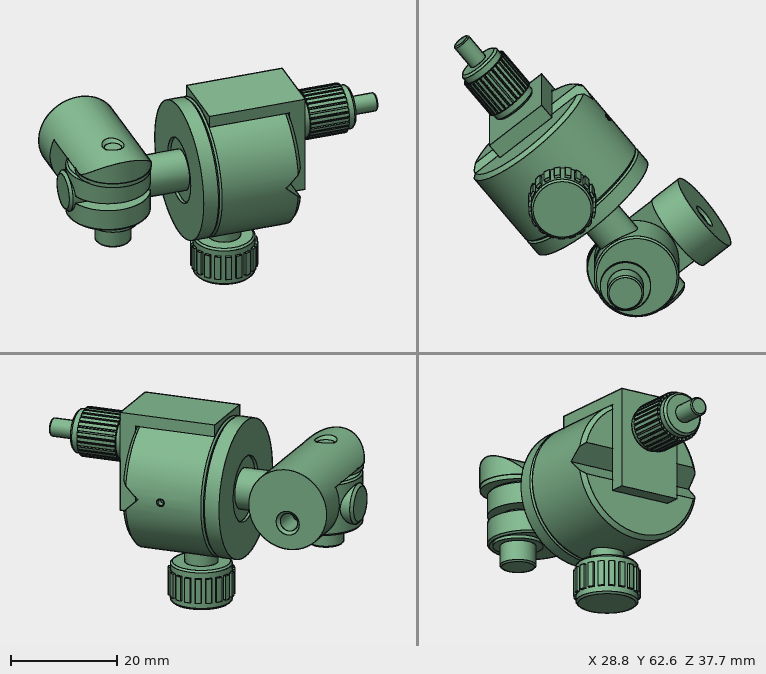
import cadquery as cq
import math


overall_width = 28.8
overall_length = 62.65

body_dia = 27.0
body_rear = 19.85
body_rear_chamfer = 0.8
flange_thickness = 3.3
body_front = flange_thickness
joint_chamfer = 0.4
recess_dia = 12.7
recess_depth = 0.6
notch_depth = 3.3
notch_half_opening = 3.15
side_hole_dia = 1.2
side_hole_mouth_dia = 1.55
side_hole_y = 11.9
side_hole_depth = 1.55

block_width = 12.65
block_top = 14.3
block_bottom = -5.25
block_front = 3.75
block_rear = 23.0

mic_z = 7.2
mic_collar_dia = 8.7
mic_collar_chamfer = 0.4
mic_collar_end = 24.7
mic_knurl_dia = 9.5
mic_knurl_end = 32.45
mic_cap_dia = 8.45
mic_cap_end = 34.15
mic_cap_chamfer = 0.45
mic_stem_dia = 3.5
mic_stem_end = 39.35
mic_stem_chamfer = 0.25
mic_groove_count = 30
mic_groove_width = 0.3

knob_y = 9.0
knob_neck_dia = 6.3
knob_dia = 11.7
knob_top = -15.6
knob_bottom = -23.4
knob_chamfer = 0.4
knob_rib_dia = 12.7
knob_rib_top = -17.1
knob_rib_bottom = -21.9
knob_rib_width = 1.1
knob_rib_count = 19
knob_first_rib_angle = 272

shaft_dia = 7.95
shaft_chamfer = 0.55
shaft_front = mic_stem_end - overall_length

joint_y = -14.7
clamp_x = 1.2
clamp_dia = 16.0
clamp_half_height = 5.2
clamp_chamfer = 0.4
slit_width = 1.5

pivot_x = 3.9
pivot_shank_dia = 5.0
washer_dia = 9.5
washer_bottom = -5.8
screw_head_dia = 6.8
screw_head_bottom = -9.95
screw_head_chamfer = 0.3

arm_dia = 15.85
arm_z = 2.7
arm_left = body_dia / 2 - overall_width
arm_wall_right = -8.95
arm_flat_z = 6.1
arm_hole_dia = 3.5
arm_hole_mouth_dia = 4.7
arm_end_dia = 14.55
spacer_dia = 14.3
dimple_floor_dia = 3.25


def rod_y(dia, start, end, x=0, z=0):
    """Round bar along Y between two Y positions."""
    plane = cq.Workplane("XZ", origin=(x, start, z))
    return plane.circle(dia / 2).extrude(start - end)


def rod_z(dia, bottom, top, x=0, y=0):
    """Round bar along Z between two Z positions."""
    return cq.Workplane("XY", origin=(x, y, bottom)).circle(dia / 2).extrude(top - bottom)


def rod_x(dia, left, right, y=0, z=0):
    """Round bar along X between two X positions."""
    return cq.Workplane("YZ", origin=(left, y, z)).circle(dia / 2).extrude(right - left)


def box_between(x_range, y_range, z_range):
    """Box given by its limits along each axis."""
    sizes = [high - low for low, high in (x_range, y_range, z_range)]
    corner = (x_range[0], y_range[0], z_range[0])
    return cq.Workplane("XY").box(*sizes, centered=False).translate(corner)


def countersink(mouth_dia, inner_dia, mouth_center, direction):
    """45 degree cone narrowing from its mouth along the given direction."""
    depth = (mouth_dia - inner_dia) / 2
    cone = cq.Solid.makeCone(
        mouth_dia / 2, inner_dia / 2, depth, cq.Vector(*mouth_center), cq.Vector(*direction)
    )
    return cq.Workplane(cone)


def make_flange():
    flange = rod_y(body_dia, 0, flange_thickness).faces(">Y").chamfer(joint_chamfer)
    return flange.cut(rod_y(recess_dia, 0, recess_depth))


def make_body():
    body = rod_y(body_dia, body_front, body_rear)
    body = body.faces("<Y").chamfer(joint_chamfer).faces(">Y").chamfer(body_rear_chamfer)
    notch = (
        cq.Workplane("YZ")
        .polyline([
            (body_rear - notch_depth, 0),
            (body_rear, notch_half_opening),
            (body_rear, -notch_half_opening),
        ])
        .close()
        .extrude(body_dia / 2, both=True)
    )
    left = -body_dia / 2
    side_hole = rod_x(side_hole_dia, left, left + side_hole_depth, y=side_hole_y)
    side_sink = countersink(side_hole_mouth_dia, side_hole_dia, (left, side_hole_y, 0), (1, 0, 0))
    return body.cut(notch).cut(side_hole).cut(side_sink)


def make_block():
    half_width = block_width / 2
    ledge_bottom = math.sqrt((body_dia / 2) ** 2 - half_width ** 2)
    x_range = (-half_width, half_width)
    ledge = box_between(x_range, (block_front, block_rear), (ledge_bottom, block_top))
    leg = box_between(x_range, (body_rear, block_rear), (block_bottom, block_top))
    return ledge.union(leg)


def make_micrometer():
    collar = rod_y(mic_collar_dia, block_rear, mic_collar_end, z=mic_z)
    collar = collar.faces("<Y").chamfer(mic_collar_chamfer)
    knurl = rod_y(mic_knurl_dia, mic_collar_end, mic_knurl_end, z=mic_z)
    cap = rod_y(mic_cap_dia, mic_knurl_end, mic_cap_end, z=mic_z).faces(">Y").chamfer(mic_cap_chamfer)
    stem = rod_y(mic_stem_dia, mic_cap_end, mic_stem_end, z=mic_z).faces(">Y").chamfer(mic_stem_chamfer)

    groove_depth = (mic_knurl_dia - mic_collar_dia) / 2
    pitch = 360 / mic_groove_count
    grooves = (
        cq.Workplane("XZ", origin=(0, mic_collar_end, mic_z))
        .polarArray(mic_knurl_dia / 2, pitch / 2, 360, mic_groove_count)
        .rect(2 * groove_depth, mic_groove_width)
        .extrude(mic_collar_end - mic_knurl_end)
    )
    return collar.union(knurl.cut(grooves)).union(cap).union(stem)


def make_knob():
    neck = rod_z(knob_neck_dia, knob_top, 0, y=knob_y)
    head = rod_z(knob_dia, knob_bottom, knob_top, y=knob_y).faces("<Z or >Z").chamfer(knob_chamfer)
    rib_height = knob_rib_top - knob_rib_bottom
    spokes = (
        cq.Workplane("XY", origin=(0, knob_y, knob_rib_bottom))
        .polarArray(knob_dia / 2, knob_first_rib_angle, 360, knob_rib_count)
        .rect(knob_rib_dia - knob_dia + knob_rib_width, knob_rib_width)
        .extrude(rib_height)
    )
    rib_limit = rod_z(knob_rib_dia, knob_rib_bottom, knob_rib_top, y=knob_y)
    return neck.union(head).union(spokes.intersect(rib_limit))


def make_clamp():
    clamp = rod_z(clamp_dia, -clamp_half_height, clamp_half_height, clamp_x, joint_y)
    clamp = clamp.faces("<Z or >Z").chamfer(clamp_chamfer)
    slit = box_between(
        (0, clamp_x + clamp_dia),
        (joint_y - clamp_dia, joint_y + clamp_dia),
        (-slit_width / 2, slit_width / 2),
    )
    shaft = rod_y(shaft_dia, shaft_front, recess_depth).faces("<Y").chamfer(shaft_chamfer)
    return clamp.cut(slit).union(shaft)


def make_pivot_screw():
    shank = rod_z(pivot_shank_dia, -clamp_half_height, clamp_half_height, pivot_x, joint_y)
    washer = rod_z(washer_dia, washer_bottom, -clamp_half_height, pivot_x, joint_y)
    head = rod_z(screw_head_dia, screw_head_bottom, washer_bottom, pivot_x, joint_y)
    return shank.union(washer).union(head.faces("<Z").chamfer(screw_head_chamfer))


def make_arm():
    arm_right = pivot_x + arm_end_dia / 2
    arm_top = arm_z + arm_dia / 2
    end_wall = rod_x(arm_dia, arm_left, arm_wall_right, joint_y, arm_z)

    tongue = rod_x(arm_dia, arm_wall_right, arm_right, joint_y, arm_z)
    y_range = (joint_y - arm_end_dia / 2, joint_y + arm_end_dia / 2)
    tongue_outline = box_between((arm_wall_right, pivot_x), y_range, (arm_flat_z, arm_top))
    tongue_outline = tongue_outline.union(rod_z(arm_end_dia, arm_flat_z, arm_top, pivot_x, joint_y))
    tongue = tongue.intersect(tongue_outline)
    spacer = rod_z(spacer_dia, clamp_half_height, arm_flat_z, pivot_x, joint_y)
    arm = end_wall.union(tongue).union(spacer)

    wall_hole = rod_x(arm_hole_dia, arm_left, arm_wall_right, joint_y)
    wall_sink = countersink(arm_hole_mouth_dia, arm_hole_dia, (arm_left, joint_y, 0), (1, 0, 0))
    dimple = countersink(arm_hole_mouth_dia, dimple_floor_dia, (pivot_x, joint_y, arm_top), (0, 0, -1))
    return arm.cut(wall_hole).cut(wall_sink).cut(dimple)


result = make_flange()
for piece in (
    make_body(),
    make_block(),
    make_micrometer(),
    make_knob(),
    make_clamp(),
    make_pivot_screw(),
    make_arm(),
):
    result = result.union(piece)